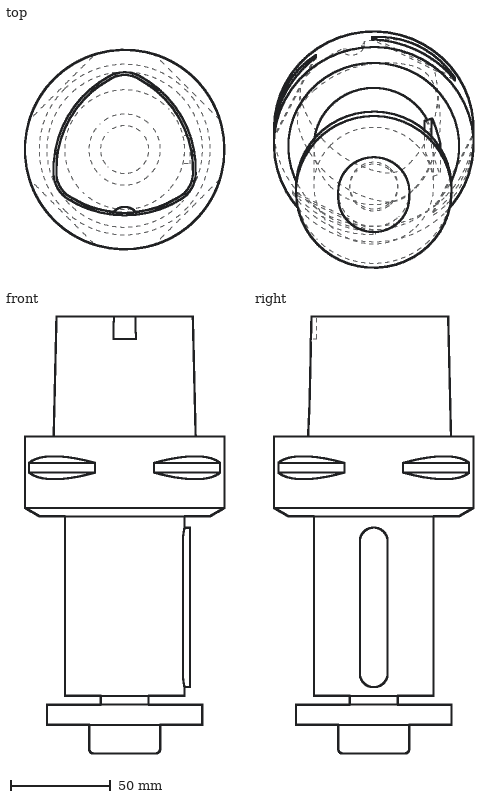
import cadquery as cq
import math

total_height = 219.0
head_height = 14.5
washer_height = 10.0
neck_height = 4.4
arbor_height = 90.0
flange_height = 40.0

washer_bottom = head_height
neck_bottom = washer_bottom + washer_height
arbor_bottom = neck_bottom + neck_height
flange_bottom = arbor_bottom + arbor_height
shank_bottom = flange_bottom + flange_height
shank_height = total_height - shank_bottom

head_diameter = 35.7
head_fillet = 2.5
washer_diameter = 78.0
neck_diameter = 24.0
arbor_diameter = 60.0
flange_diameter = 100.0

chamfer_height = 4.2
chamfer_width = 7.2

lobe_reach = 37.35
side_reach = 31.5
lobe_radius = 14.0
taper_growth = 1.42
lobe_count = 3
lobe_pitch = 360.0 / lobe_count
first_lobe_angle = 90.0

notch_radius = 7.0
notch_floor_y = -28.7
notch_depth = 11.4

groove_count = 4
groove_center_z = 143.2
groove_floor_distance = 44.2
groove_floor_height = 4.8
groove_wall_angle = 30.0

key_top = 113.2
key_bottom = 33.3
key_width = 14.0
key_outer_x = 32.8


def disc(diameter, bottom, height):
    return cq.Workplane("XY").workplane(offset=bottom).circle(diameter / 2).extrude(height)


def polar(radius, angle):
    return (radius * math.cos(math.radians(angle)), radius * math.sin(math.radians(angle)))


lobe_center = lobe_reach - lobe_radius
reach_gap = side_reach - lobe_radius
side_center = (lobe_center**2 - reach_gap**2) / (2 * reach_gap - lobe_center)


def lobe_profile(plane, growth):
    """Closed outline of alternating lobe and side arcs, offset outward by growth."""
    side_radius = side_center + side_reach
    half_pitch = lobe_pitch / 2
    center_x, center_y = polar(side_center, half_pitch - 180)
    normal = math.atan2(-center_y, lobe_center - center_x)
    tangent_x = center_x + (side_radius + growth) * math.cos(normal)
    tangent_y = center_y + (side_radius + growth) * math.sin(normal)
    tangent_radius = math.hypot(tangent_x, tangent_y)
    tangent_angle = math.degrees(math.atan2(tangent_y, tangent_x))

    profile = plane.moveTo(*polar(tangent_radius, first_lobe_angle - tangent_angle))
    for index in range(lobe_count):
        lobe_angle = first_lobe_angle + index * lobe_pitch
        next_lobe_angle = lobe_angle + lobe_pitch
        profile = profile.threePointArc(
            polar(lobe_reach + growth, lobe_angle),
            polar(tangent_radius, lobe_angle + tangent_angle),
        )
        profile = profile.threePointArc(
            polar(side_reach + growth, lobe_angle + half_pitch),
            polar(tangent_radius, next_lobe_angle - tangent_angle),
        )
    return profile.close()


def make_shank():
    base = lobe_profile(cq.Workplane("XY").workplane(offset=shank_bottom), taper_growth)
    shank = lobe_profile(base.workplane(offset=shank_height, origin=(0, 0)), 0.0).loft(ruled=True)
    notch = (
        cq.Workplane("XY")
        .workplane(offset=total_height - notch_depth)
        .center(0, notch_floor_y - notch_radius)
        .circle(notch_radius)
        .extrude(notch_depth)
    )
    return shank.cut(notch)


def groove_cutter():
    """Flat-floored groove with sloping walls, cut along a chord on the +X side."""
    outer_x = flange_diameter / 2 + 2.2
    widening = (outer_x - groove_floor_distance) * math.tan(math.radians(groove_wall_angle))
    floor_half = groove_floor_height / 2
    mouth_half = floor_half + widening
    return (
        cq.Workplane("XZ")
        .polyline([
            (groove_floor_distance, groove_center_z - floor_half),
            (outer_x, groove_center_z - mouth_half),
            (outer_x, groove_center_z + mouth_half),
            (groove_floor_distance, groove_center_z + floor_half),
        ])
        .close()
        .extrude(flange_diameter / 2, both=True)
    )


def make_flange():
    flange = disc(flange_diameter, flange_bottom, flange_height)
    flange = flange.faces("<Z").chamfer(chamfer_height, chamfer_width)
    groove_pitch = 360.0 / groove_count
    for index in range(groove_count):
        angle = (index + 0.5) * groove_pitch
        flange = flange.cut(groove_cutter().rotate((0, 0, 0), (0, 0, 1), angle))
    return flange


def make_key():
    return (
        cq.Workplane("YZ")
        .center(0, (key_top + key_bottom) / 2)
        .slot2D(key_top - key_bottom, key_width, 90)
        .extrude(key_outer_x)
    )


head = disc(head_diameter, 0, head_height).faces("<Z").edges().fillet(head_fillet)
washer = disc(washer_diameter, washer_bottom, washer_height)
neck = disc(neck_diameter, neck_bottom, neck_height)
arbor = disc(arbor_diameter, arbor_bottom, arbor_height)

result = head.union(washer).union(neck).union(arbor)
result = result.union(make_key()).union(make_flange()).union(make_shank())